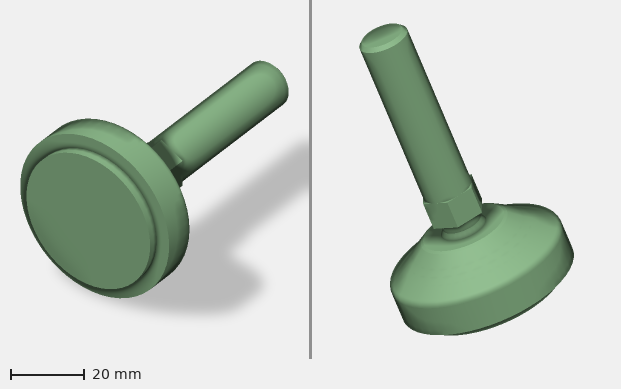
import cadquery as cq
import math

total_length = 84.0
sole_height = 2.9
rim_top = 11.7
shoulder_top = 13.4
crown_base = 21.1
crown_top = 21.5
flare_top = 23.1
hex_base = 25.9
hex_top = 33.9

sole_diameter = 41.5
foot_diameter = 50.0
shoulder_radius = 23.9
crown_outer_radius = 12.6
crown_bevel_width = 0.8
crown_flat_radius = crown_outer_radius - crown_bevel_width
slope_sag = 0.3

stem_diameter = 14.0
tip_chamfer = 1.1
neck_diameter = 11.0
flare_radius = 6.55
hex_across_flats = stem_diameter


def arc_middle(start, end, offset):
    """Point on an arc halfway between two points, offset to the left of travel."""
    dx = end[0] - start[0]
    dy = end[1] - start[1]
    chord = math.hypot(dx, dy)
    middle_x = (start[0] + end[0]) / 2 - offset * dy / chord
    middle_y = (start[1] + end[1]) / 2 + offset * dx / chord
    return middle_x, middle_y


def revolve_about_y(profile):
    return profile.close().revolve(360, (0, 0, 0), (0, 1, 0))


def make_foot():
    """Stepped disc with a rounded shoulder and a slightly hollow slope."""
    rim_radius = foot_diameter / 2
    shoulder = (shoulder_radius, shoulder_top)
    crown_edge = (crown_outer_radius, crown_base)
    profile = (
        cq.Workplane("XY")
        .lineTo(sole_diameter / 2, 0)
        .lineTo(sole_diameter / 2, sole_height)
        .lineTo(rim_radius, sole_height)
        .lineTo(rim_radius, rim_top)
        .tangentArcPoint(shoulder, relative=False)
        .threePointArc(arc_middle(shoulder, crown_edge, slope_sag), crown_edge)
        .lineTo(crown_flat_radius, crown_top)
        .lineTo(0, crown_top)
    )
    return revolve_about_y(profile)


def make_stem():
    """Flared neck and chamfered rod; the hexagon covers the step between them."""
    neck_radius = neck_diameter / 2
    stem_radius = stem_diameter / 2
    profile = (
        cq.Workplane("XY")
        .moveTo(0, crown_top)
        .lineTo(flare_radius, crown_top)
        .lineTo(neck_radius, flare_top)
        .lineTo(neck_radius, hex_top)
        .lineTo(stem_radius, hex_top)
        .lineTo(stem_radius, total_length - tip_chamfer)
        .lineTo(stem_radius - tip_chamfer, total_length)
        .lineTo(0, total_length)
    )
    return revolve_about_y(profile)


def make_hexagon():
    """Wrench hexagon with two flats facing +X and -X, corners on Z."""
    across_corners = hex_across_flats / math.cos(math.pi / 6)
    return (
        cq.Workplane("XZ", origin=(0, hex_base, 0))
        .transformed(rotate=(0, 0, 90))
        .polygon(6, across_corners)
        .extrude(hex_base - hex_top)
    )


result = make_foot().union(make_stem()).union(make_hexagon())